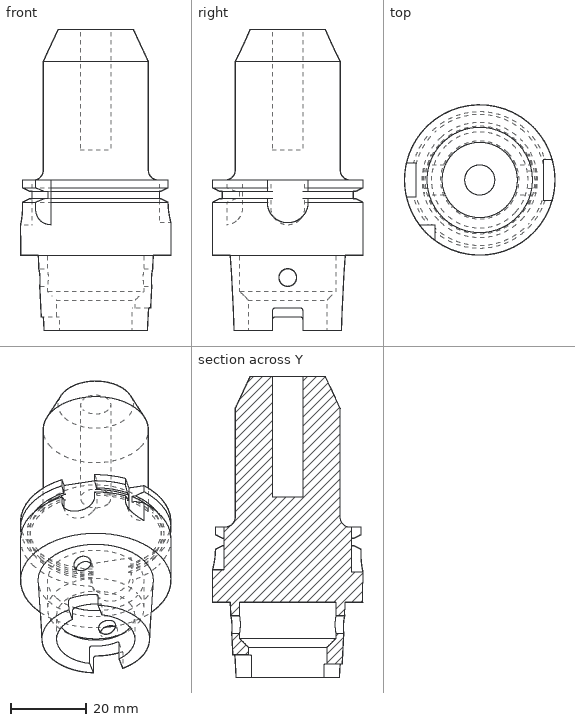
import cadquery as cq

total_height = 80.0
shank_height = 20.0
flange_top = 40.0
flange_radius = 20.0

shank_bottom_radius = 14.3
shank_top_radius = 15.32
socket_mouth_radius = 10.4
socket_inner_radius = 12.8
socket_mouth_depth = 8.0
socket_cone_height = 2.4
socket_depth = shank_height
cross_hole_diameter = 4.6
cross_hole_z = 14.1
keyway_width = 8.0
keyway_fillet = 0.6
left_keyway_depth = 3.6
right_keyway_depth = 6.0

groove_z = 36.0
groove_radius = 17.4
groove_floor_width = 1.9
groove_mouth_width = 3.8
groove_shoulder_radius = 18.2

nose_radius = 14.0
nose_root_fillet = 2.6
nose_tip_radius = 10.0
nose_taper_height = 8.6
bore_diameter = 8.0
bore_depth = 32.0

slot_bottom_z = 28.1
left_slot_width = 9.0
left_slot_floor_x = -17.0
right_slot_width = 10.9
right_slot_floor_x = 17.0
right_slot_bottom_z = 28.6
notch_wall_x = -11.8
notch_wall_y = -12.0


def turned_body():
    """Revolve the shank, grooved flange and nose about Z."""
    floor_half = groove_floor_width / 2
    mouth_half = groove_mouth_width / 2
    root_radius = nose_radius + nose_root_fillet
    return (
        cq.Workplane("XZ")
        .lineTo(shank_bottom_radius, 0)
        .lineTo(shank_top_radius, shank_height)
        .lineTo(flange_radius, shank_height)
        .lineTo(flange_radius, groove_z - mouth_half)
        .lineTo(groove_shoulder_radius, groove_z - floor_half)
        .lineTo(groove_radius, groove_z - floor_half)
        .lineTo(groove_radius, groove_z + floor_half)
        .lineTo(groove_shoulder_radius, groove_z + floor_half)
        .lineTo(flange_radius, groove_z + mouth_half)
        .lineTo(flange_radius, flange_top)
        .lineTo(root_radius, flange_top)
        .radiusArc((nose_radius, flange_top + nose_root_fillet), nose_root_fillet)
        .lineTo(nose_radius, total_height - nose_taper_height)
        .lineTo(nose_tip_radius, total_height)
        .lineTo(0, total_height)
        .close()
        .revolve(360, (0, 0, 0), (0, 1, 0))
    )


def flange_slot(floor_x, center_y, width, bottom_z):
    """Round-bottomed cutter running outward along X from floor_x."""
    radius = width / 2
    center_z = bottom_z + radius
    length = flange_radius if floor_x > 0 else -flange_radius
    return (
        cq.Workplane("YZ", origin=(floor_x, center_y, 0))
        .moveTo(-radius, flange_top)
        .lineTo(-radius, center_z)
        .threePointArc((0, bottom_z), (radius, center_z))
        .lineTo(radius, flange_top)
        .close()
        .extrude(length)
    )


def shank_socket():
    """Socket that widens behind its mouth to form an internal clamping shoulder."""
    return (
        cq.Workplane("XZ")
        .lineTo(socket_mouth_radius, 0)
        .lineTo(socket_mouth_radius, socket_mouth_depth)
        .lineTo(socket_inner_radius, socket_mouth_depth + socket_cone_height)
        .lineTo(socket_inner_radius, socket_depth)
        .lineTo(0, socket_depth)
        .close()
        .revolve(360, (0, 0, 0), (0, 1, 0))
    )


def shank_keyway(side, depth):
    """Drive keyway through one shank wall, on the +X (1) or -X (-1) side."""
    return (
        cq.Workplane("XY")
        .box(flange_radius, keyway_width, depth, centered=(True, True, False))
        .edges("|X and >Z")
        .fillet(keyway_fillet)
        .translate((side * flange_radius / 2, 0, 0))
    )


body = turned_body()

body = body.cut(
    cq.Workplane("XY", origin=(0, 0, total_height)).circle(bore_diameter / 2).extrude(-bore_depth)
)
body = body.cut(shank_socket())

body = body.cut(
    cq.Workplane("YZ", origin=(0, 0, cross_hole_z))
    .circle(cross_hole_diameter / 2)
    .extrude(flange_radius, both=True)
)

body = body.cut(shank_keyway(-1, left_keyway_depth))
body = body.cut(shank_keyway(1, right_keyway_depth))

body = body.cut(flange_slot(left_slot_floor_x, 0, left_slot_width, slot_bottom_z))
body = body.cut(flange_slot(right_slot_floor_x, 0, right_slot_width, right_slot_bottom_z))
notch_center_y = notch_wall_y - left_slot_width / 2
body = body.cut(flange_slot(notch_wall_x, notch_center_y, left_slot_width, slot_bottom_z))

result = body